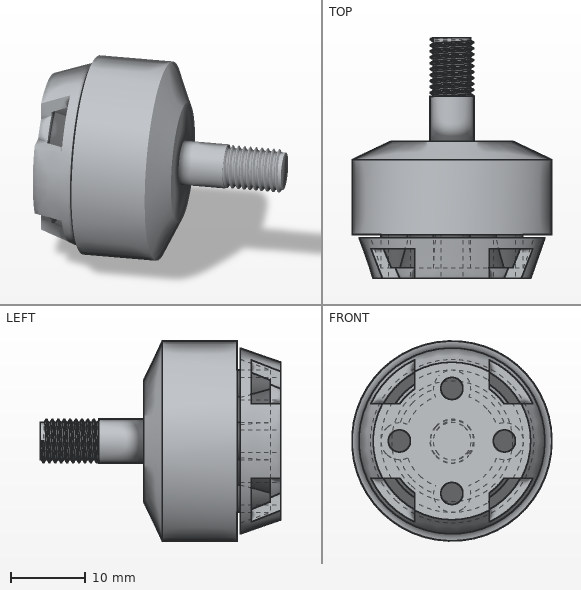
import cadquery as cq

TOTAL_LENGTH = 32.5

BASE_HEIGHT = 5.5
BASE_BOTTOM_RADIUS = 10.63
BASE_TOP_RADIUS = 12.55
TAPER = (BASE_TOP_RADIUS - BASE_BOTTOM_RADIUS) / BASE_HEIGHT
FLOOR_THICKNESS = 1.43
CAVITY_FLOOR_RADIUS = 9.62
FLOOR_EDGE_RADIUS = 8.65

WINDOW_OFFSET = 5.05
WINDOW_HEIGHT = 4.03

HUB_BOTTOM_RADIUS = 7.45
HUB_NECK_RADIUS = 6.4
HUB_NECK_START = 5.2
BOSS_RADIUS = 2.5
HOLE_RADIUS = 1.5
HOLE_OFFSET = 7.1

BELL_BOTTOM = 5.9
BELL_SHOULDER = 16.0
BELL_TOP = 18.52
BELL_DIAMETER = 27.0
BELL_RADIUS = BELL_DIAMETER / 2
BELL_TOP_RADIUS = 8.15

SHAFT_RADIUS = 3.0
SHAFT_SHOULDER = 24.57
THREAD_CORE_RADIUS = 2.55
THREAD_CREST_RADIUS = 2.92
THREAD_LENGTH = 8.0
THREAD_TURNS = 10
THREAD_PITCH = THREAD_LENGTH / THREAD_TURNS
THREAD_ROOT_HALF_WIDTH = 0.25
THREAD_CREST_HALF_WIDTH = 0.03
THREAD_OVERLAP = 0.1


def revolve_profile(points):
    """Turn a closed (radius, height) outline about Z."""
    return cq.Workplane("XZ").polyline(points).close().revolve(360, (0, 0), (0, 1))


def cone(bottom, top, bottom_radius, top_radius):
    return revolve_profile([(0, bottom), (bottom_radius, bottom), (top_radius, top), (0, top)])


def cylinder(bottom, top, radius):
    return cq.Workplane("XY").workplane(offset=bottom).circle(radius).extrude(top - bottom)


def screw_columns(bottom, top, radius):
    """Four upright cylinders on the screw positions."""
    positions = [(HOLE_OFFSET, 0), (0, HOLE_OFFSET), (-HOLE_OFFSET, 0), (0, -HOLE_OFFSET)]
    plane = cq.Workplane("XY").workplane(offset=bottom)
    return plane.pushPoints(positions).circle(radius).extrude(top - bottom)


def make_base():
    cup = cone(0, BASE_HEIGHT, BASE_BOTTOM_RADIUS, BASE_TOP_RADIUS)
    cavity_top_radius = CAVITY_FLOOR_RADIUS + TAPER * (BASE_HEIGHT - FLOOR_THICKNESS)
    cup = cup.cut(cone(FLOOR_THICKNESS, BASE_HEIGHT, CAVITY_FLOOR_RADIUS, cavity_top_radius))

    floor_edge_top = FLOOR_EDGE_RADIUS + TAPER * WINDOW_HEIGHT
    floor_core = cone(0, WINDOW_HEIGHT, FLOOR_EDGE_RADIUS, floor_edge_top)
    window_size = BASE_TOP_RADIUS
    for x_side in (-1, 1):
        for y_side in (-1, 1):
            centre_distance = WINDOW_OFFSET + window_size / 2
            window = cq.Workplane("XY").center(x_side * centre_distance, y_side * centre_distance)
            window = window.rect(window_size, window_size).extrude(WINDOW_HEIGHT)
            cup = cup.cut(window.cut(floor_core))
    return cup


def make_hub():
    hub = cone(FLOOR_THICKNESS, HUB_NECK_START, HUB_BOTTOM_RADIUS, HUB_NECK_RADIUS)
    hub = hub.union(cylinder(HUB_NECK_START, BELL_BOTTOM, HUB_NECK_RADIUS))
    return hub.union(screw_columns(FLOOR_THICKNESS, BELL_BOTTOM, BOSS_RADIUS))


def make_bell_and_shaft():
    return revolve_profile([
        (0, BELL_BOTTOM),
        (BELL_RADIUS, BELL_BOTTOM),
        (BELL_RADIUS, BELL_SHOULDER),
        (BELL_TOP_RADIUS, BELL_TOP),
        (SHAFT_RADIUS, BELL_TOP),
        (SHAFT_RADIUS, SHAFT_SHOULDER),
        (THREAD_CORE_RADIUS, SHAFT_SHOULDER),
        (THREAD_CORE_RADIUS, TOTAL_LENGTH),
        (0, TOTAL_LENGTH),
    ])


def make_thread():
    """Right-handed ridge that starts inside the shaft shoulder and ends flush with the tip, at -X."""
    start = TOTAL_LENGTH - THREAD_ROOT_HALF_WIDTH - THREAD_LENGTH
    ridge_height = THREAD_CREST_RADIUS - THREAD_CORE_RADIUS
    flank_slope = (THREAD_ROOT_HALF_WIDTH - THREAD_CREST_HALF_WIDTH) / ridge_height
    inner_radius = THREAD_CORE_RADIUS - THREAD_OVERLAP
    inner_half_width = THREAD_ROOT_HALF_WIDTH + flank_slope * THREAD_OVERLAP
    path = cq.Wire.makeHelix(THREAD_PITCH, THREAD_LENGTH, THREAD_CORE_RADIUS)
    ridge = (
        cq.Workplane("XZ")
        .polyline([
            (inner_radius, -inner_half_width),
            (THREAD_CREST_RADIUS, -THREAD_CREST_HALF_WIDTH),
            (THREAD_CREST_RADIUS, THREAD_CREST_HALF_WIDTH),
            (inner_radius, inner_half_width),
        ])
        .close()
        .sweep(cq.Workplane(path), isFrenet=True)
    )
    ridge = ridge.rotate((0, 0, 0), (0, 0, 1), 180).translate((0, 0, start))
    return ridge.intersect(cylinder(BELL_TOP, TOTAL_LENGTH, SHAFT_RADIUS))


motor = make_base().union(make_hub())
motor = motor.union(make_bell_and_shaft())
motor = motor.cut(screw_columns(0, BELL_BOTTOM, HOLE_RADIUS))
motor = motor.union(make_thread())

result = motor.rotate((0, 0, 0), (1, 0, 0), -90)